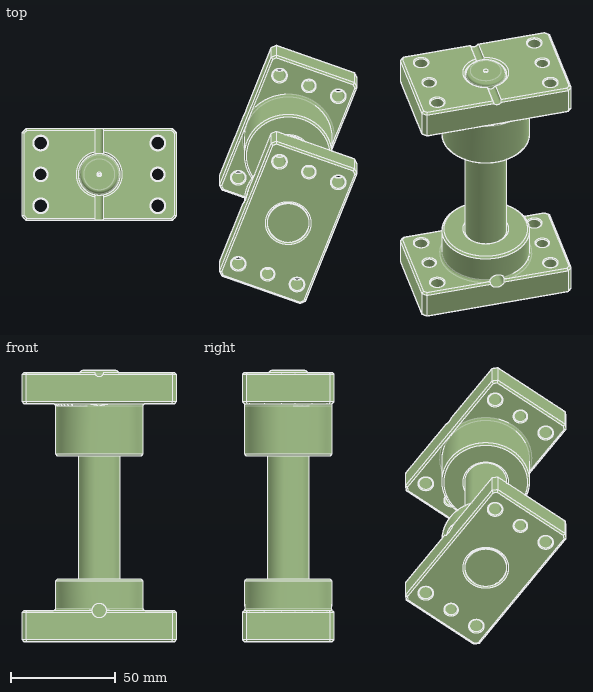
import cadquery as cq
import math

TOTAL_HEIGHT = 130.0

PLATE_LENGTH = 74.0
PLATE_WIDTH = 44.0
PLATE_THICKNESS = 15.0
CORNER_CHAMFER = 2.0
EDGE_CHAMFER = 0.96

BOSS_DIAMETER = 42.0
LOWER_BOSS_HEIGHT = 15.1
UPPER_BOSS_HEIGHT = 25.1
BOSS_FILLET = 1.0

POST_DIAMETER = 20.0
LEAD_DIAMETER = 18.7
LEAD_LENGTH = 2.9
POST_TIP_RADIUS = 2.0
POST_PROTRUSION = 1.2
CENTER_SINK_DIAMETER = 2.2
CENTER_SINK_ANGLE = 60
CENTER_DRILL_DIAMETER = 1.0
CENTER_DRILL_DEPTH = 2.6

HOLE_SPACING_X = 56.0
SCREW_SPACING_Y = 30.0
SCREW_HOLE_DIAMETER = 6.5
DOWEL_HOLE_DIAMETER = 6.0
HOLE_CHAMFER = 0.5

CROSS_HOLE_DIAMETER = 6.9
GROOVE_DIAMETER = 4.0

UPPER_PLATE_TOP = TOTAL_HEIGHT - POST_PROTRUSION


def drill(body, points, diameter, chamfer, depth):
    """Cut through holes from z = 0 up to the given depth, chamfered at both mouths."""
    radius = diameter / 2
    mouth = radius + chamfer
    profile = [
        (0, 0),
        (mouth, 0),
        (radius, chamfer),
        (radius, depth - chamfer),
        (mouth, depth),
        (0, depth),
    ]
    cutter = cq.Workplane("XZ").polyline(profile).close().revolve(360, (0, 0), (0, 1))
    for x, y in points:
        body = body.cut(cutter.translate((x, y, 0)))
    return body


def boss_root():
    """Concave fillet ring at the foot of the boss, trimmed to the flat top of the plate."""
    inner = BOSS_DIAMETER / 2
    flat_width = PLATE_WIDTH - 2 * EDGE_CHAMFER
    arc_offset = BOSS_FILLET * (1 - math.sqrt(0.5))
    ring = (
        cq.Workplane("XZ", origin=(0, 0, PLATE_THICKNESS))
        .moveTo(0, 0)
        .lineTo(inner + BOSS_FILLET, 0)
        .threePointArc((inner + arc_offset, arc_offset), (inner, BOSS_FILLET))
        .lineTo(0, BOSS_FILLET)
        .close()
        .revolve(360, (0, 0), (0, 1))
    )
    flat = (
        cq.Workplane("XY", origin=(0, 0, PLATE_THICKNESS))
        .box(PLATE_LENGTH, flat_width, PLATE_THICKNESS)
    )
    return ring.intersect(flat)


def holder(boss_height):
    """Chamfered plate on z = 0 with a round boss above it, bored for the post."""
    height = PLATE_THICKNESS + boss_height
    plate = (
        cq.Workplane("XY")
        .box(PLATE_LENGTH, PLATE_WIDTH, PLATE_THICKNESS, centered=(True, True, False))
        .edges("|Z").chamfer(CORNER_CHAMFER)
        .faces("<Z or >Z").chamfer(EDGE_CHAMFER)
    )
    boss = (
        cq.Workplane("XY", origin=(0, 0, PLATE_THICKNESS))
        .circle(BOSS_DIAMETER / 2).extrude(boss_height)
        .faces(">Z").chamfer(EDGE_CHAMFER)
    )
    body = plate.union(boss).union(boss_root())
    half_x = HOLE_SPACING_X / 2
    half_y = SCREW_SPACING_Y / 2
    screws = [(x, y) for x in (-half_x, half_x) for y in (-half_y, half_y)]
    dowels = [(x, 0) for x in (-half_x, half_x)]
    body = drill(body, screws, SCREW_HOLE_DIAMETER, HOLE_CHAMFER, PLATE_THICKNESS)
    body = drill(body, dowels, DOWEL_HOLE_DIAMETER, HOLE_CHAMFER, PLATE_THICKNESS)
    return drill(body, [(0, 0)], POST_DIAMETER, EDGE_CHAMFER, height)


def rod_along_y(diameter, z):
    """Cutter running right across the plate in the Y direction at height z."""
    return (
        cq.Workplane("YZ", origin=(0, -PLATE_WIDTH / 2, z))
        .lineTo(0, diameter / 2)
        .lineTo(PLATE_WIDTH, diameter / 2)
        .lineTo(PLATE_WIDTH, 0)
        .close()
        .revolve(360, (0, 0), (1, 0))
    )


def guide_post():
    """Post with a tapered lead-in, a rounded tip and a countersunk center hole."""
    radius = POST_DIAMETER / 2
    lead_radius = LEAD_DIAMETER / 2
    lead_z = TOTAL_HEIGHT - POST_TIP_RADIUS
    arc_offset = POST_TIP_RADIUS * (1 - math.sqrt(0.5))
    body = (
        cq.Workplane("XZ")
        .lineTo(radius, 0)
        .lineTo(radius, lead_z - LEAD_LENGTH)
        .lineTo(lead_radius, lead_z)
        .threePointArc(
            (lead_radius - arc_offset, TOTAL_HEIGHT - arc_offset),
            (lead_radius - POST_TIP_RADIUS, TOTAL_HEIGHT),
        )
        .lineTo(0, TOTAL_HEIGHT)
        .close()
        .revolve(360, (0, 0), (0, 1))
    )
    return body.faces(">Z").workplane(origin=(0, 0, TOTAL_HEIGHT)).cskHole(
        CENTER_DRILL_DIAMETER, CENTER_SINK_DIAMETER, CENTER_SINK_ANGLE, CENTER_DRILL_DEPTH
    )


post = guide_post()

lower_holder = holder(LOWER_BOSS_HEIGHT).cut(
    rod_along_y(CROSS_HOLE_DIAMETER, PLATE_THICKNESS)
)

upper_holder = (
    holder(UPPER_BOSS_HEIGHT)
    .rotate((0, 0, 0), (1, 0, 0), 180)
    .translate((0, 0, UPPER_PLATE_TOP))
    .cut(rod_along_y(GROOVE_DIAMETER, UPPER_PLATE_TOP))
)

result = cq.Compound.makeCompound([lower_holder.val(), upper_holder.val(), post.val()])